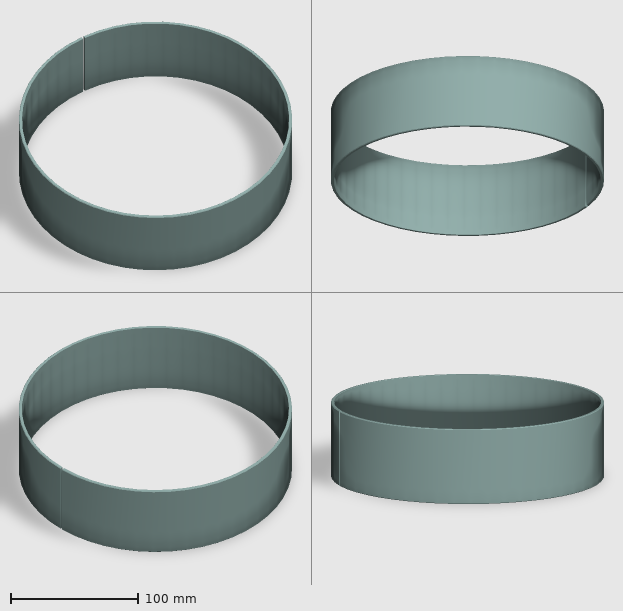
import cadquery as cq

outer_diameter = 215.0
wall_thickness = 2.5
height = 60.0
outer_chamfer = 0.5
inner_chamfer = 0.2
gap_angle = 1.0

outer_radius = outer_diameter / 2
inner_radius = outer_radius - wall_thickness
sweep_angle = 360.0 - gap_angle


def make_wall_section():
    """Wall cross-section on the -X side, with its rim corners chamfered."""
    outer_x = -outer_radius
    inner_x = -inner_radius
    corners = [
        (outer_x + outer_chamfer, 0),
        (inner_x - inner_chamfer, 0),
        (inner_x, inner_chamfer),
        (inner_x, height - inner_chamfer),
        (inner_x - inner_chamfer, height),
        (outer_x + outer_chamfer, height),
        (outer_x, height - outer_chamfer),
        (outer_x, outer_chamfer),
    ]
    return cq.Workplane("XZ").polyline(corners).close()


def make_split_band():
    """Sweep the section about Z from the -X axis, by way of -Y, leaving a narrow gap on the +Y side."""
    return make_wall_section().revolve(sweep_angle, (0, 0, 0), (0, 1, 0))


result = make_split_band()